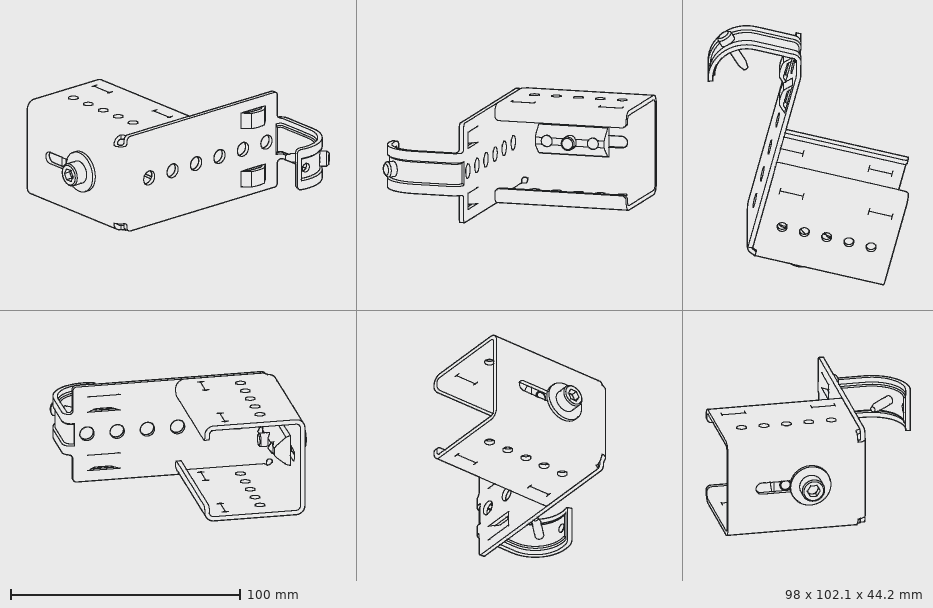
import cadquery as cq
import math

SHEET = 2.0
BEND_OUTER = 4.1
BEND_INNER = BEND_OUTER - SHEET

CHANNEL_HEIGHT = 44.2
CHANNEL_DEPTH = 44.7
LIP_OPENING = 30.2
LIP_CORNER = 2.0
HALF_HEIGHT = CHANNEL_HEIGHT / 2

WALL_X = 60.0
WALL_FACE = WALL_X + SHEET
WALL_TOP = 90.5
WALL_TOP_CORNER = 1.5
WALL_FRONT_CORNER = 2.0

PLATE_GAP = 0.1
PLATE_END = WALL_X - PLATE_GAP
BEND_START = WALL_FACE - BEND_OUTER
CORNER_STRIP_HALF = HALF_HEIGHT - BEND_OUTER
CORNER_FLARE = 1.2
PLATE_CORNER_CUT = 1.0

PLATE_HOLE = 4.3
PLATE_HOLE_PITCH = 10.0
PLATE_HOLE_COUNT = 5
PLATE_HOLE_Y = 18.0
WALL_HOLE = 6.3
WALL_HOLE_PITCH = 13.5
WALL_HOLE_COUNT = 6
WALL_HOLE_START = 16.8

CREASE_Y = 34.6
CREASE_LENGTH = 10.4
CREASE_WIDTH = 2.9
CREASE_DEPTH = 0.3

BRIDGE_Y = 76.6
BRIDGE_Z = 13.6
BRIDGE_WIDTH = 7.1
BRIDGE_FOOT = 6.9
BRIDGE_FLANK = 3.2
BRIDGE_CREST_HALF = 3.7
BRIDGE_RAISE = 3.7
BRIDGE_WINDOW_DEPTH = 3.5
BRIDGE_ROUND = 1.0

TONGUE_WIDTH = 18.8
TONGUE_FLARE = 2.0
HOOK_X = 81.2
HOOK_RADIUS = 16.8
HOOK_Y = WALL_TOP + BEND_OUTER - HOOK_RADIUS
HOOK_END_ANGLE = -20.0
HOOK_CORNER = 1.8
HOOK_HOLE_ANGLE = -3.0

BEAD_DEPTH = 0.9
BEAD_START = 0.7
BEAD_END_ANGLE = -13.0
GROOVE_MOUTH_HALF = 5.2
GROOVE_FLOOR_HALF = 4.5
RIDGE_FOOT_HALF = 7.1
RIDGE_SHOULDER_HALF = 6.2
RIDGE_TOP_HALF = 5.6
RIDGE_SHOULDER = 0.36

HOOK_SCREW_ANGLE = 45.0
HOOK_SCREW_RADIUS = 1.9
HOOK_SCREW_TIP = 0.8
HOOK_SCREW_TIP_RADIUS = 1.1
HOOK_SCREW_CONE_END = 3.8
HOOK_HEAD_RADIUS = 3.4
HOOK_HEAD_TOP = 19.8
HOOK_HEAD_CHAMFER = 0.9
HOOK_HEAD_SEAT = HOOK_RADIUS - BEAD_DEPTH

SCREW_X = 36.7
SCREW_RADIUS = 3.0
SCREW_TIP_Y = 12.8
SCREW_TIP_CHAMFER = 0.5
WASHER_RADIUS = 9.0
WASHER_THICKNESS = 1.5
HEAD_RADIUS = 5.0
HEAD_HEIGHT = 6.0
HEAD_CHAMFER = 0.6
SOCKET_FLATS = 5.0
SOCKET_DEPTH = 3.0
SOCKET_POINT = 1.4
SLOT_START = 12.6
SLOT_WIDTH = 5.2

NUT_LENGTH = 31.4
NUT_BASE_HALF = 6.9
NUT_SIDE_Y = 4.0
NUT_SIDE_HALF = 6.3
NUT_SHOULDER_Y = 8.5
NUT_SHOULDER_HALF = 2.6
NUT_TOP_Y = 9.2
NUT_TOP_HALF = 1.5
PIN_SPACING = 21.0
PIN_RADIUS = 2.5
PIN_CHAMFER = 0.4
PIN_SHOULDER_Y = NUT_TOP_Y
PIN_POINT_Y = 10.9


def turned(origin, direction, outline):
    """Body of revolution; outline holds (distance along the axis, radius) points."""
    plane = cq.Plane(origin=origin, xDir=direction, normal=(0, 0, 1))
    return cq.Workplane(plane).polyline(outline).close().revolve(360, (0, 0), (1, 0))


def rod(origin, direction, radius, length):
    return turned(origin, direction, [(0, 0), (0, radius), (length, radius), (length, 0)])


def polar(center, radius, angle):
    turn = math.radians(angle)
    return center[0] + radius * math.cos(turn), center[1] + radius * math.sin(turn)




def bend(center, start_angle, half_width):
    """Quarter turn of sheet about a vertical axis."""
    outer = [polar(center, BEND_OUTER, start_angle + turn) for turn in (0, 45, 90)]
    inner = [polar(center, BEND_INNER, start_angle + turn) for turn in (0, 45, 90)]
    return (
        cq.Workplane("XY", origin=(0, 0, -half_width))
        .moveTo(*outer[0])
        .threePointArc(outer[1], outer[2])
        .lineTo(*inner[2])
        .threePointArc(inner[1], inner[0])
        .close()
        .extrude(2 * half_width)
    )


def flares(origin, strip_direction, normal, half_width, radius):
    """Concave corner pieces on both edges of a strip where it leaves a wider sheet."""
    plane = cq.Plane(origin=origin, xDir=strip_direction, normal=normal)
    mid = radius * (1 - math.sqrt(0.5))
    pieces = None
    for side in (1, -1):
        piece = (
            cq.Workplane(plane)
            .moveTo(0, side * half_width)
            .lineTo(0, side * (half_width + radius))
            .threePointArc((mid, side * (half_width + mid)), (radius, side * half_width))
            .close()
            .extrude(2 * BEND_OUTER, both=True)
        )
        pieces = piece if pieces is None else pieces.union(piece)
    return pieces


def channel():
    inner_height = CHANNEL_HEIGHT - 2 * SHEET
    inner_depth = CHANNEL_DEPTH - 2 * SHEET
    outside = (
        cq.Workplane("XY")
        .box(PLATE_END, CHANNEL_DEPTH, CHANNEL_HEIGHT, centered=(False, False, True))
        .edges("|X").fillet(BEND_OUTER)
    )
    inside = (
        cq.Workplane("XY", origin=(0, SHEET, 0))
        .box(PLATE_END, inner_depth, inner_height, centered=(False, False, True))
        .edges("|X").fillet(BEND_INNER)
    )
    opening = cq.Workplane("XY", origin=(0, SHEET + inner_depth / 2, 0)).box(
        PLATE_END, CHANNEL_DEPTH, LIP_OPENING, centered=(False, False, True)
    )
    body = outside.cut(inside).cut(opening)
    margin = 1.0
    lip_ends = cq.selectors.BoxSelector(
        (-margin, inner_depth, -LIP_OPENING / 2 - margin),
        (PLATE_END + margin, CHANNEL_DEPTH + margin, LIP_OPENING / 2 + margin),
    )
    body = body.edges("|Y").edges(lip_ends).fillet(LIP_CORNER)
    corner_cut = (
        cq.Workplane("XY", origin=(0, 0, -HALF_HEIGHT))
        .polyline([
            (BEND_START, 0),
            (BEND_START, BEND_OUTER),
            (PLATE_END, BEND_OUTER + PLATE_CORNER_CUT),
            (PLATE_END, 0),
        ])
        .close()
        .extrude(CHANNEL_HEIGHT)
    )
    return body.cut(corner_cut)


def plate_holes():
    points = [((i + 1) * PLATE_HOLE_PITCH, PLATE_HOLE_Y) for i in range(PLATE_HOLE_COUNT)]
    return (
        cq.Workplane("XY", origin=(0, 0, -HALF_HEIGHT))
        .pushPoints(points)
        .circle(PLATE_HOLE / 2)
        .extrude(CHANNEL_HEIGHT)
    )


def crease(x, side, face_z):
    """V prism pointing inward from a horizontal face, on the top (side 1) or bottom (-1)."""
    return (
        cq.Workplane("YZ", origin=(x - CREASE_LENGTH / 2, CREASE_Y, 0))
        .polyline([
            (-CREASE_WIDTH / 2, side * face_z),
            (CREASE_WIDTH / 2, side * face_z),
            (0, side * (face_z - CREASE_DEPTH)),
        ])
        .close()
        .extrude(CREASE_LENGTH)
    )


def screw_slot():
    slot = cq.Workplane("XY", origin=(SLOT_START + SLOT_WIDTH / 2, 0, 0)).box(
        SCREW_X - SLOT_START - SLOT_WIDTH / 2, SHEET, SLOT_WIDTH, centered=(False, False, True)
    )
    slot_end = rod((SLOT_START + SLOT_WIDTH / 2, 0, 0), (0, 1, 0), SLOT_WIDTH / 2, SHEET)
    screw_hole = rod((SCREW_X, 0, 0), (0, 1, 0), SCREW_RADIUS, SHEET)
    return slot.union(slot_end).union(screw_hole)


def wall():
    body = cq.Workplane("XY", origin=(WALL_X, BEND_OUTER, 0)).box(
        SHEET, WALL_TOP - BEND_OUTER, CHANNEL_HEIGHT, centered=(False, False, True)
    )
    body = body.edges("|X and >Y").fillet(WALL_TOP_CORNER)
    body = body.edges("|X and <Y").fillet(WALL_FRONT_CORNER)
    for i in range(WALL_HOLE_COUNT):
        start = (WALL_X, WALL_HOLE_START + i * WALL_HOLE_PITCH, 0)
        body = body.cut(rod(start, (1, 0, 0), WALL_HOLE / 2, SHEET))
    return body


def bridge_outside():
    """Sloped flanks below a slightly domed crest."""
    crest_base = WALL_FACE + BRIDGE_FLANK
    return (
        cq.Workplane("XY", origin=(0, BRIDGE_Y, -BRIDGE_WIDTH / 2))
        .moveTo(WALL_FACE, -BRIDGE_FOOT)
        .lineTo(crest_base, -BRIDGE_CREST_HALF)
        .threePointArc((WALL_FACE + BRIDGE_RAISE, 0), (crest_base, BRIDGE_CREST_HALF))
        .lineTo(WALL_FACE, BRIDGE_FOOT)
        .close()
        .extrude(BRIDGE_WIDTH)
    )


def bridge_window():
    """Opening through the wall and up to the flat underside of the bridge, flanks at 45 degrees."""
    roof_half = BRIDGE_FOOT - BRIDGE_WINDOW_DEPTH
    roof = WALL_X + BRIDGE_WINDOW_DEPTH
    return (
        cq.Workplane("XY", origin=(0, BRIDGE_Y, -BRIDGE_WIDTH / 2))
        .polyline([
            (WALL_X, -BRIDGE_FOOT),
            (roof, -roof_half),
            (roof, roof_half),
            (WALL_X, BRIDGE_FOOT),
        ])
        .close()
        .extrude(BRIDGE_WIDTH)
        .edges("|Z and >X")
        .fillet(BRIDGE_ROUND)
    )


def with_bridges(body):
    for z in (BRIDGE_Z, -BRIDGE_Z):
        body = body.union(bridge_outside().translate((0, 0, z)))
        body = body.cut(bridge_window().translate((0, 0, z)))
        for end in (1, -1):
            window_rim = (WALL_X, BRIDGE_Y + end * BRIDGE_FOOT, z)
            body = body.edges(cq.NearestToPointSelector(window_rim)).fillet(BRIDGE_ROUND)
    return body


def tongue_path(start, end_angle):
    """Outer face line of the tongue: up the wall, round the bend, then along the hook."""
    bend_center = (WALL_X + BEND_OUTER, WALL_TOP)
    hook_center = (HOOK_X, HOOK_Y)
    return (
        cq.Workplane("XY")
        .moveTo(WALL_X, start)
        .lineTo(WALL_X, WALL_TOP)
        .threePointArc(
            polar(bend_center, BEND_OUTER, 135), (WALL_X + BEND_OUTER, WALL_TOP + BEND_OUTER)
        )
        .lineTo(HOOK_X, WALL_TOP + BEND_OUTER)
        .threePointArc(
            polar(hook_center, HOOK_RADIUS, 45), polar(hook_center, HOOK_RADIUS, end_angle)
        )
    )


def tongue_sweep(section, start, end_angle):
    """Sweep a section of (depth below the outer face, Z) points along the tongue."""
    profile = cq.Workplane("XZ", origin=(WALL_X, start, 0)).polyline(section).close()
    return profile.sweep(tongue_path(start, end_angle))


def mirrored(half_section):
    return half_section + [(depth, -z) for depth, z in reversed(half_section)]


def tongue():
    start = WALL_TOP - BEAD_START
    strip = tongue_sweep(
        mirrored([(0, TONGUE_WIDTH / 2), (SHEET, TONGUE_WIDTH / 2)]), start, HOOK_END_ANGLE
    )
    tip = polar((HOOK_X, HOOK_Y), HOOK_RADIUS - SHEET / 2, HOOK_END_ANGLE)
    for z in (TONGUE_WIDTH / 2, -TONGUE_WIDTH / 2):
        strip = strip.edges(cq.NearestToPointSelector((*tip, z))).fillet(HOOK_CORNER)
    web = bend((WALL_X + BEND_OUTER, WALL_TOP), 90, TONGUE_WIDTH / 2 + TONGUE_FLARE)
    flare = flares((WALL_X, WALL_TOP, 0), (0, 1, 0), (1, 0, 0), TONGUE_WIDTH / 2, TONGUE_FLARE)
    return strip.union(web.intersect(flare))


def bead_groove():
    section = mirrored([(0, GROOVE_MOUTH_HALF), (BEAD_DEPTH, GROOVE_FLOOR_HALF)])
    return tongue_sweep(section, WALL_TOP - BEAD_START, BEAD_END_ANGLE)


def bead_ridge():
    section = mirrored([
        (SHEET, RIDGE_FOOT_HALF),
        (SHEET + RIDGE_SHOULDER, RIDGE_SHOULDER_HALF),
        (SHEET + BEAD_DEPTH, RIDGE_TOP_HALF),
    ])
    return tongue_sweep(section, WALL_TOP - BEAD_START, BEAD_END_ANGLE)


def corner_bend():
    """Bend joining the front plate to the wall, flared at both of its ends."""
    center = (BEND_START, BEND_OUTER)
    full = bend(center, -90, CORNER_STRIP_HALF + CORNER_FLARE)
    strip = bend(center, -90, CORNER_STRIP_HALF)
    front_flare = flares(
        (BEND_START, 0, 0), (1, 0, 0), (0, -1, 0), CORNER_STRIP_HALF, CORNER_FLARE
    )
    wall_flare = flares(
        (WALL_FACE, BEND_OUTER, 0), (0, -1, 0), (-1, 0, 0), CORNER_STRIP_HALF, CORNER_FLARE
    )
    return strip.union(full.intersect(front_flare)).union(full.intersect(wall_flare))


def hook_hole(angle):
    direction = (*polar((0, 0), 1, angle), 0)
    return rod((HOOK_X, HOOK_Y, 0), direction, HOOK_SCREW_RADIUS, HOOK_RADIUS)


def make_bracket():
    body = channel().cut(plate_holes()).cut(screw_slot())
    crease_places = (PLATE_HOLE_PITCH, PLATE_HOLE_PITCH * PLATE_HOLE_COUNT)
    for x in crease_places:
        for side in (1, -1):
            body = body.union(crease(x, side, HALF_HEIGHT - SHEET))
            body = body.cut(crease(x, side, HALF_HEIGHT))
    body = body.union(corner_bend()).union(with_bridges(wall()))
    body = body.union(tongue()).union(bead_ridge()).cut(bead_groove())
    for angle in (HOOK_SCREW_ANGLE, HOOK_HOLE_ANGLE):
        body = body.cut(hook_hole(angle))
    return body




def make_hook_screw():
    outline = [
        (HOOK_SCREW_TIP, 0),
        (HOOK_SCREW_TIP, HOOK_SCREW_TIP_RADIUS),
        (HOOK_SCREW_CONE_END, HOOK_SCREW_RADIUS),
        (HOOK_HEAD_SEAT, HOOK_SCREW_RADIUS),
        (HOOK_HEAD_SEAT, HOOK_HEAD_RADIUS),
        (HOOK_HEAD_TOP - HOOK_HEAD_CHAMFER, HOOK_HEAD_RADIUS),
        (HOOK_HEAD_TOP, HOOK_HEAD_RADIUS - HOOK_HEAD_CHAMFER),
        (HOOK_HEAD_TOP, 0),
    ]
    direction = (*polar((0, 0), 1, HOOK_SCREW_ANGLE), 0)
    return turned((HOOK_X, HOOK_Y, 0), direction, outline)


def make_washer():
    disc = rod((SCREW_X, -WASHER_THICKNESS, 0), (0, 1, 0), WASHER_RADIUS, WASHER_THICKNESS)
    hole = rod((SCREW_X, -WASHER_THICKNESS, 0), (0, 1, 0), SCREW_RADIUS, WASHER_THICKNESS)
    return disc.cut(hole)


def make_cap_screw():
    head_top = -WASHER_THICKNESS - HEAD_HEIGHT
    outline = [
        (head_top, 0),
        (head_top, HEAD_RADIUS - HEAD_CHAMFER),
        (head_top + HEAD_CHAMFER, HEAD_RADIUS),
        (-WASHER_THICKNESS, HEAD_RADIUS),
        (-WASHER_THICKNESS, SCREW_RADIUS),
        (SCREW_TIP_Y - SCREW_TIP_CHAMFER, SCREW_RADIUS),
        (SCREW_TIP_Y, SCREW_RADIUS - SCREW_TIP_CHAMFER),
        (SCREW_TIP_Y, 0),
    ]
    body = turned((SCREW_X, 0, 0), (0, 1, 0), outline)
    socket = (
        cq.Workplane("XZ", origin=(SCREW_X, head_top, 0))
        .polygon(6, SOCKET_FLATS / math.cos(math.radians(30)))
        .extrude(-SOCKET_DEPTH)
    )
    floor = head_top + SOCKET_DEPTH
    point = turned(
        (SCREW_X, floor, 0), (0, 1, 0), [(0, 0), (0, SOCKET_FLATS / 2), (SOCKET_POINT, 0)]
    )
    return body.cut(socket).cut(point)


def make_pin(x):
    outline = [
        (SHEET, 0),
        (SHEET, PIN_RADIUS - PIN_CHAMFER),
        (SHEET + PIN_CHAMFER, PIN_RADIUS),
        (PIN_SHOULDER_Y, PIN_RADIUS),
        (PIN_POINT_Y, 0),
    ]
    return turned((x, 0, 0), (0, 1, 0), outline)


def make_wedge_nut(pin_places):
    outline = [
        (SHEET, NUT_BASE_HALF),
        (NUT_SIDE_Y, NUT_SIDE_HALF),
        (NUT_SHOULDER_Y, NUT_SHOULDER_HALF),
        (NUT_TOP_Y, NUT_TOP_HALF),
    ]
    body = (
        cq.Workplane("YZ", origin=(SCREW_X - NUT_LENGTH / 2, 0, 0))
        .polyline(mirrored(outline))
        .close()
        .extrude(NUT_LENGTH)
    )
    body = body.cut(rod((SCREW_X, 0, 0), (0, 1, 0), SCREW_RADIUS, SCREW_TIP_Y))
    for x in pin_places:
        body = body.cut(rod((x, 0, 0), (0, 1, 0), PIN_RADIUS, PIN_POINT_Y))
    return body


bracket = make_bracket()
hook_screw = make_hook_screw()
washer = make_washer()
cap_screw = make_cap_screw()
pin_places = (SCREW_X - PIN_SPACING / 2, SCREW_X + PIN_SPACING / 2)
wedge_nut = make_wedge_nut(pin_places)
pins = [make_pin(x) for x in pin_places]

result = cq.Compound.makeCompound([
    bracket.val(),
    hook_screw.val(),
    washer.val(),
    cap_screw.val(),
    wedge_nut.val(),
    *[pin.val() for pin in pins],
])